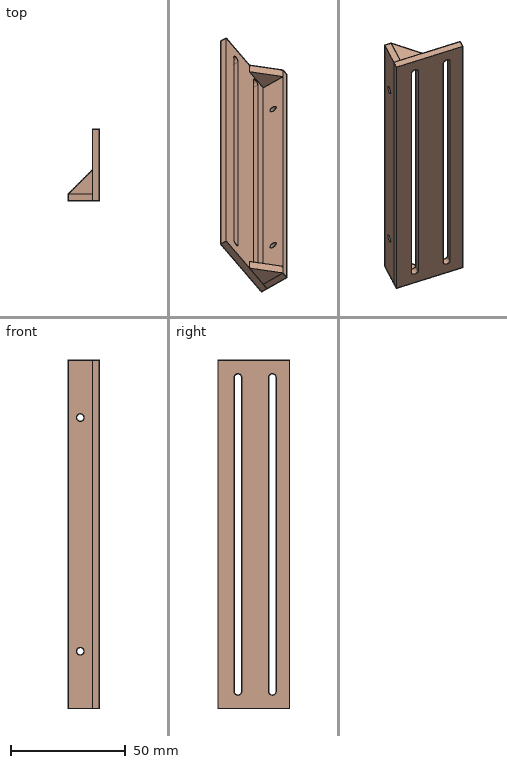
import cadquery as cq


length = 151.78
plate_width = 31.24
overall_depth = 13.51
sheet_thickness = 3.0
flange_width = overall_depth - sheet_thickness

bore_diameter = 3.17

slot_count = 2
slot_pitch = 15.0
slot_edge_distance = 7.5
slot_end_margin = 5.95
slot_length = length - 2 * slot_end_margin

hole_end_distance = 25.0
hole_x = -sheet_thickness - flange_width / 2

gusset_thickness = 5.0
gusset_leg = flange_width


def make_plate():
    """Upright plate with long round-ended slots through its thickness."""
    plate = (
        cq.Workplane("XY")
        .box(sheet_thickness, plate_width, length, centered=False)
        .translate((-sheet_thickness, 0, 0))
    )
    outer_slot_y = plate_width - slot_edge_distance
    slot_centres = [(outer_slot_y - i * slot_pitch, length / 2) for i in range(slot_count)]
    slots = (
        cq.Workplane("YZ", origin=(-sheet_thickness, 0, 0))
        .pushPoints(slot_centres)
        .slot2D(slot_length, bore_diameter, 90)
        .extrude(sheet_thickness)
    )
    return plate.cut(slots)


def make_flange():
    """Flange butted against the plate face, with two through holes along Y."""
    flange = (
        cq.Workplane("XY")
        .box(flange_width, sheet_thickness, length, centered=False)
        .translate((-overall_depth, 0, 0))
    )
    hole_centres = [(hole_x, z) for z in (hole_end_distance, length - hole_end_distance)]
    holes = (
        cq.Workplane("XZ")
        .pushPoints(hole_centres)
        .circle(bore_diameter / 2)
        .extrude(-sheet_thickness)
    )
    return flange.cut(holes)


def make_gusset(bottom_z):
    """Triangular gusset filling the inner corner between plate and flange."""
    return (
        cq.Workplane("XY", origin=(-sheet_thickness, sheet_thickness, bottom_z))
        .lineTo(-gusset_leg, 0)
        .lineTo(0, gusset_leg)
        .close()
        .extrude(gusset_thickness)
    )


plate = make_plate()
flange = make_flange()
gussets = [make_gusset(bottom_z) for bottom_z in (0, length - gusset_thickness)]

result = cq.Compound.makeCompound(
    [plate.val(), flange.val(), *[gusset.val() for gusset in gussets]]
)